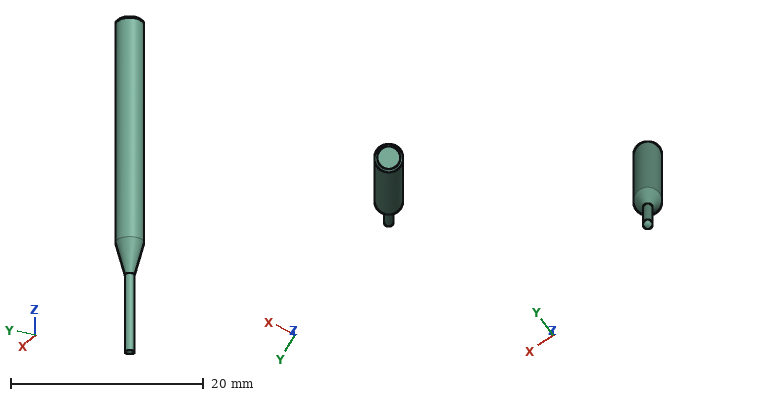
import cadquery as cq
import math

total_length = 38
shank_diameter = 3.0
shank_chamfer = 0.3
drill_diameter = 1.03
point_angle = 140
cutting_length = 9.0
taper_length = 3.7

shank_radius = shank_diameter / 2
drill_radius = drill_diameter / 2
point_height = drill_radius / math.tan(math.radians(point_angle / 2))
taper_top = cutting_length + taper_length


def revolve_about_z(profile):
    """Turn a radius/height outline that starts and ends on the axis into a solid."""
    return cq.Workplane("XZ").polyline(profile).close().revolve(360, (0, 0), (0, 1))


def make_cutting_end():
    """Conical point with the straight cutting length above it."""
    return revolve_about_z([
        (0, 0),
        (drill_radius, point_height),
        (drill_radius, cutting_length),
        (0, cutting_length),
    ])


def make_shank():
    """Cylindrical shank with a taper down to the cutting end and a chamfered top."""
    return revolve_about_z([
        (0, cutting_length),
        (drill_radius, cutting_length),
        (shank_radius, taper_top),
        (shank_radius, total_length - shank_chamfer),
        (shank_radius - shank_chamfer, total_length),
        (0, total_length),
    ])


cutting_end = make_cutting_end()
shank = make_shank()

result = cq.Compound.makeCompound([cutting_end.val(), shank.val()])